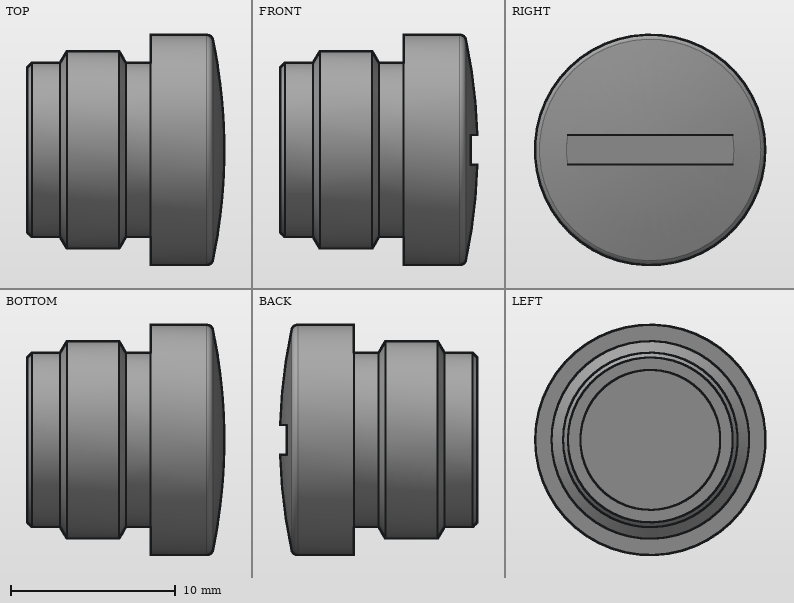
import cadquery as cq
import math

bore_diameter = 8.5
neck_diameter = 10.6
collar_diameter = 12.0
head_diameter = 14.0

collar_start = 2.0
collar_end = 6.0
head_start = 7.5
dome_start = 11.28
dome_apex = 12.0

tip_chamfer = 0.3
collar_bevel_length = 0.42
rim_length = 0.39
rim_depth = 0.28

slot_width = 1.79
slot_floor = 11.59

bore_depth = head_start

neck_radius = neck_diameter / 2
collar_radius = collar_diameter / 2
head_radius = head_diameter / 2
dome_edge_radius = head_radius - rim_depth
dome_height = dome_apex - dome_start
dome_sphere_radius = (dome_edge_radius**2 + dome_height**2) / (2 * dome_height)


def dome_x(radius):
    """X position of the dome surface at a distance from the axis."""
    centre_x = dome_apex - dome_sphere_radius
    return centre_x + math.sqrt(dome_sphere_radius**2 - radius**2)


def make_body():
    """Revolve the stepped outline; sketch coordinates are (x, radius)."""
    dome_mid_radius = dome_edge_radius / 2
    outline = (
        cq.Workplane("XY")
        .moveTo(0, 0)
        .lineTo(0, neck_radius - tip_chamfer)
        .lineTo(tip_chamfer, neck_radius)
        .lineTo(collar_start, neck_radius)
        .lineTo(collar_start + collar_bevel_length, collar_radius)
        .lineTo(collar_end - collar_bevel_length, collar_radius)
        .lineTo(collar_end, neck_radius)
        .lineTo(head_start, neck_radius)
        .lineTo(head_start, head_radius)
        .lineTo(dome_start - rim_length, head_radius)
        .tangentArcPoint((dome_start, dome_edge_radius), relative=False)
        .threePointArc((dome_x(dome_mid_radius), dome_mid_radius), (dome_apex, 0))
        .close()
    )
    return outline.revolve(360, (0, 0, 0), (1, 0, 0))


def make_bore():
    """Blind bore from the open end."""
    return cq.Workplane("YZ").circle(bore_diameter / 2).extrude(bore_depth)


def make_slot():
    """Straight slot through the crown, with the cutter reaching clear of the apex."""
    return (
        cq.Workplane("YZ", origin=(slot_floor, 0, 0))
        .rect(head_diameter, slot_width)
        .extrude(2 * (dome_apex - slot_floor))
    )


result = make_body().cut(make_bore()).cut(make_slot())